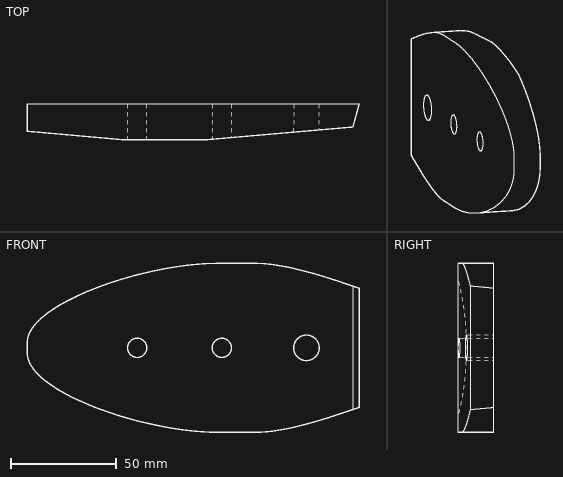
import cadquery as cq

LENGTH = 157.0
WIDTH = 80.0
THICKNESS = 17.0
HALF_WIDTH = WIDTH / 2

NOSE_HALF_WIDTH = 2.5
NOSE_PULL = 18.4
SHOULDER_PULL = 34.7
STRAIGHT_START = 90.0
STRAIGHT_END = 108.0
TAIL_HALF_WIDTH = 28.2
STRAIGHT_END_PULL = 14.7
TAIL_END_PULL_X = 14.7
TAIL_END_PULL_Z = 5.0

NOSE_THICKNESS = 13.0
TAIL_THICKNESS = 11.0
FLAT_START = 45.0
FLAT_END = 85.0
TAIL_SETBACK = 3.0

HOLE_SPACING = 40.0
FIRST_HOLE_X = 52.0
HOLE_DIAMETERS = (9.0, 9.0, 12.0)


def nose_curve(side):
    """Control points from the nose flat to the straight side; side is +1 or -1 along Z."""
    return [
        (0, side * NOSE_HALF_WIDTH),
        (0, side * (NOSE_HALF_WIDTH + NOSE_PULL)),
        (STRAIGHT_START - SHOULDER_PULL, side * HALF_WIDTH),
        (STRAIGHT_START, side * HALF_WIDTH),
    ]


def tail_curve(side):
    """Control points from the straight side to the tail corner; side is +1 or -1 along Z."""
    return [
        (STRAIGHT_END, side * HALF_WIDTH),
        (STRAIGHT_END + STRAIGHT_END_PULL, side * HALF_WIDTH),
        (LENGTH - TAIL_END_PULL_X, side * (TAIL_HALF_WIDTH + TAIL_END_PULL_Z)),
        (LENGTH, side * TAIL_HALF_WIDTH),
    ]


def outline_blank():
    """Symmetric blade outline, extruded from the back to the full thickness."""
    return (
        cq.Workplane("XZ")
        .moveTo(0, -NOSE_HALF_WIDTH)
        .lineTo(0, NOSE_HALF_WIDTH)
        .bezier(nose_curve(1))
        .lineTo(STRAIGHT_END, HALF_WIDTH)
        .bezier(tail_curve(1))
        .lineTo(LENGTH, -TAIL_HALF_WIDTH)
        .bezier(tail_curve(-1)[::-1])
        .lineTo(STRAIGHT_START, -HALF_WIDTH)
        .bezier(nose_curve(-1)[::-1])
        .close()
        .extrude(THICKNESS)
    )


def thickness_profile():
    """Side profile with tapers to nose and tail, extruded across the width."""
    return (
        cq.Workplane("XY")
        .polyline([
            (0, 0),
            (0, -NOSE_THICKNESS),
            (FLAT_START, -THICKNESS),
            (FLAT_END, -THICKNESS),
            (LENGTH - TAIL_SETBACK, -TAIL_THICKNESS),
            (LENGTH, 0),
        ])
        .close()
        .extrude(HALF_WIDTH, both=True)
    )


def through_hole(index, diameter):
    """Cylinder through the full thickness at one station on the centre line."""
    return (
        cq.Workplane("XZ")
        .center(FIRST_HOLE_X + index * HOLE_SPACING, 0)
        .circle(diameter / 2)
        .extrude(THICKNESS)
    )


result = outline_blank().intersect(thickness_profile())
for hole_index, hole_diameter in enumerate(HOLE_DIAMETERS):
    result = result.cut(through_hole(hole_index, hole_diameter))